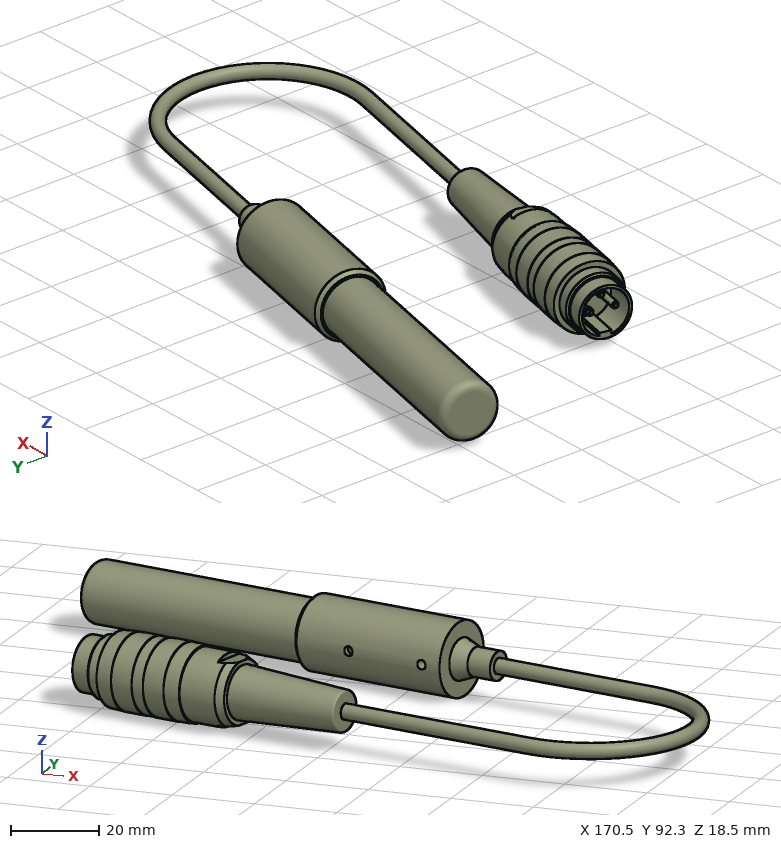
import cadquery as cq
import math

TILT = 13.0

CABLE_DIA = 3.7
BEND_RADIUS = 25.0
PROBE_AXIS_Y = BEND_RADIUS
PLUG_AXIS_Y = -BEND_RADIUS

GLAND_END_X = -42.0
GLAND_NECK_DIA = 7.0
GLAND_NECK_LENGTH = 6.1
GLAND_BASE_DIA = 10.0
GLAND_CONE_LENGTH = 4.0
GLAND_SHANK_LENGTH = 10.0

SLEEVE_DIA = 18.0
SLEEVE_LENGTH = 40.0
SLEEVE_CHAMFER = 1.0
SLEEVE_END_X = GLAND_END_X - GLAND_NECK_LENGTH - GLAND_CONE_LENGTH
SLEEVE_FRONT_X = SLEEVE_END_X - SLEEVE_LENGTH
SCREW_HOLE_DIA = 2.2
SCREW_HOLE_SETBACK = 5.0
SCREW_HOLE_SPACING = 20.0
SCREW_HOLE_COUNT = 2

TUBE_DIA = 15.0
TUBE_EXPOSED_LENGTH = 59.8
TUBE_INSERTION = 20.0
TUBE_TIP_FILLET = 2.0
TUBE_TIP_X = SLEEVE_FRONT_X - TUBE_EXPOSED_LENGTH

PLUG_FRONT_X = -120.2
SHROUD_DIA = 13.5
SHROUD_BORE_DIA = 12.0
SHROUD_LENGTH = 4.5
SOCKET_DEPTH = 9.0
KEY_WIDTH = 3.0
KEY_HEIGHT = 1.0
COLLAR_FRONT_DIA = 14.1
COLLAR_DIA = 15.2
COLLAR_CHAMFER_LENGTH = 0.5
COLLAR_LENGTH = 3.2

GRIP_END_DIA = 18.0
GRIP_DIA = 18.4
GRIP_BULGE = 0.09
GRIP_END_LENGTH = 4.1
BAND_DIA = 18.5
BAND_LENGTH = 5.6
BAND_GAP = 3.0

CLAMP_FRONT_DIA = 17.5
CLAMP_REAR_DIA = 17.0
CLAMP_BULGE = 0.2
CLAMP_LENGTH = 9.4
CLAMP_CHAMFER_LENGTH = 2.0
CLAMP_END_DIA = 15.3
FLAT_SPACING = 15.0
FLAT_LENGTH = 4.0

BOOT_LENGTH = 28.0
BOOT_BASE_DIA = 13.0
BOOT_END_DIA = 9.9
BOOT_FILLET = 0.5

PIN_DIA = 1.7
PIN_CHAMFER = 0.3
LONG_PIN_LENGTH = 7.2
SHORT_PIN_LENGTH = 1.7
PIN_CIRCLE_RADIUS = 3.5

COLLAR_X = PLUG_FRONT_X + SHROUD_LENGTH
GRIP_X = COLLAR_X + COLLAR_CHAMFER_LENGTH + COLLAR_LENGTH
CLAMP_X = GRIP_X + 2 * GRIP_END_LENGTH + 2 * BAND_LENGTH + BAND_GAP
BOOT_X = CLAMP_X + CLAMP_LENGTH + CLAMP_CHAMFER_LENGTH


def along_x(x, y):
    """Workplane at (x, y) whose normal is +X."""
    return cq.Workplane("YZ", origin=(x, y, 0))


def rod(x, y, dia, length):
    return along_x(x, y).circle(dia / 2).extrude(length)


def turned(start_x, y, spans):
    """Solid of revolution about the local X axis at y.

    Each span is (length, start diameter, end diameter, bulge). The bulge is how far the
    middle of the span rises above the straight line between its ends.
    """
    x = start_x
    outline = cq.Workplane("XY").moveTo(x, 0)
    radius = 0
    for length, start_dia, end_dia, bulge in spans:
        if start_dia / 2 != radius:
            outline = outline.lineTo(x, start_dia / 2)
        radius = end_dia / 2
        middle = (x + length / 2, (start_dia + end_dia) / 4 + bulge)
        x += length
        if bulge:
            outline = outline.threePointArc(middle, (x, radius))
        else:
            outline = outline.lineTo(x, radius)
    solid = outline.lineTo(x, 0).close().revolve(360, (0, 0, 0), (1, 0, 0))
    return solid.translate((0, y, 0))


def make_tube():
    """Probe tube with a rounded tip, pushed into the front of the sleeve."""
    tube = rod(TUBE_TIP_X, PROBE_AXIS_Y, TUBE_DIA, TUBE_EXPOSED_LENGTH + TUBE_INSERTION)
    return tube.faces("<X").edges().fillet(TUBE_TIP_FILLET)


def make_sleeve():
    """Sleeve bored for the tube and the gland, with a row of radial screw holes."""
    sleeve = rod(SLEEVE_FRONT_X, PROBE_AXIS_Y, SLEEVE_DIA, SLEEVE_LENGTH)
    sleeve = sleeve.faces("<X").edges().chamfer(SLEEVE_CHAMFER)
    sleeve = sleeve.cut(rod(SLEEVE_FRONT_X, PROBE_AXIS_Y, TUBE_DIA, TUBE_INSERTION))
    shank_x = SLEEVE_END_X - GLAND_SHANK_LENGTH
    sleeve = sleeve.cut(rod(shank_x, PROBE_AXIS_Y, GLAND_BASE_DIA, GLAND_SHANK_LENGTH))
    for index in range(SCREW_HOLE_COUNT):
        hole_x = SLEEVE_END_X - SCREW_HOLE_SETBACK - index * SCREW_HOLE_SPACING
        hole = (
            cq.Workplane("XZ", origin=(hole_x, PROBE_AXIS_Y, 0))
            .circle(SCREW_HOLE_DIA / 2)
            .extrude(SLEEVE_DIA)
        )
        sleeve = sleeve.cut(hole)
    return sleeve


def make_gland(cable):
    """Gland with a shank inside the sleeve and a neck around the cable."""
    spans = [
        (GLAND_SHANK_LENGTH, GLAND_BASE_DIA, GLAND_BASE_DIA, 0),
        (GLAND_CONE_LENGTH, GLAND_BASE_DIA, GLAND_NECK_DIA, 0),
        (GLAND_NECK_LENGTH, GLAND_NECK_DIA, GLAND_NECK_DIA, 0),
    ]
    gland = turned(SLEEVE_END_X - GLAND_SHANK_LENGTH, PROBE_AXIS_Y, spans)
    return gland.cut(cable)


def make_cable():
    """U-shaped cable from the rear of the sleeve to the front of the boot."""
    path = (
        cq.Workplane("XY")
        .moveTo(SLEEVE_END_X, PROBE_AXIS_Y)
        .lineTo(0, PROBE_AXIS_Y)
        .threePointArc((BEND_RADIUS, 0), (0, PLUG_AXIS_Y))
        .lineTo(BOOT_X, PLUG_AXIS_Y)
    )
    return along_x(SLEEVE_END_X, PROBE_AXIS_Y).circle(CABLE_DIA / 2).sweep(path)


def make_plug_shell():
    spans = [
        (SHROUD_LENGTH, SHROUD_DIA, SHROUD_DIA, 0),
        (COLLAR_CHAMFER_LENGTH, COLLAR_FRONT_DIA, COLLAR_DIA, 0),
        (COLLAR_LENGTH, COLLAR_DIA, COLLAR_DIA, 0),
        (GRIP_END_LENGTH, GRIP_END_DIA, GRIP_DIA, GRIP_BULGE),
        (BAND_LENGTH, BAND_DIA, BAND_DIA, 0),
        (BAND_GAP, GRIP_DIA, GRIP_DIA, 0),
        (BAND_LENGTH, BAND_DIA, BAND_DIA, 0),
        (GRIP_END_LENGTH, GRIP_DIA, GRIP_END_DIA, GRIP_BULGE),
        (CLAMP_LENGTH, CLAMP_FRONT_DIA, CLAMP_REAR_DIA, CLAMP_BULGE),
        (CLAMP_CHAMFER_LENGTH, CLAMP_REAR_DIA, CLAMP_END_DIA, 0),
        (BOOT_LENGTH, BOOT_BASE_DIA, BOOT_END_DIA, 0),
    ]
    shell = turned(PLUG_FRONT_X, PLUG_AXIS_Y, spans)
    return shell.faces(">X").edges().fillet(BOOT_FILLET)


def make_wrench_flats():
    """Cutters above and below the rear of the clamp."""
    flats = cq.Workplane("XY")
    for side in (-1, 1):
        center_z = side * (FLAT_SPACING + GRIP_DIA) / 2
        cutter = cq.Workplane("XY").box(FLAT_LENGTH, GRIP_DIA, GRIP_DIA)
        flats = flats.add(cutter.translate((BOOT_X - FLAT_LENGTH / 2, PLUG_AXIS_Y, center_z)))
    return flats.combine()


def make_key():
    """Rib along the bottom of the socket, rooted in the shroud wall."""
    wall = (SHROUD_DIA - SHROUD_BORE_DIA) / 2
    height = KEY_HEIGHT + wall / 2
    center_z = KEY_HEIGHT - SHROUD_BORE_DIA / 2 - height / 2
    rib_section = along_x(PLUG_FRONT_X, PLUG_AXIS_Y).center(0, center_z).rect(KEY_WIDTH, height)
    return rib_section.extrude(SOCKET_DEPTH)


def make_pin(angle, length):
    """Pin standing on the socket floor, at an angle from the +Y side of the plug axis."""
    pin_y = PLUG_AXIS_Y + PIN_CIRCLE_RADIUS * math.cos(math.radians(angle))
    pin_z = PIN_CIRCLE_RADIUS * math.sin(math.radians(angle))
    pin = rod(PLUG_FRONT_X + SOCKET_DEPTH, pin_y, PIN_DIA, -length)
    return pin.faces("<X").edges().chamfer(PIN_CHAMFER).translate((0, 0, pin_z))


def make_plug(cable):
    """Plug with its socket, key and pins, and a hole for the cable."""
    plug = make_plug_shell()
    plug = plug.cut(make_wrench_flats())
    plug = plug.cut(rod(PLUG_FRONT_X, PLUG_AXIS_Y, SHROUD_BORE_DIA, SOCKET_DEPTH))
    plug = plug.union(make_key())
    for angle in (0, 90, 180):
        plug = plug.union(make_pin(angle, LONG_PIN_LENGTH))
    plug = plug.union(make_pin(270, SHORT_PIN_LENGTH))
    return plug.cut(cable)


cable = make_cable()
bodies = [make_tube(), make_sleeve(), make_gland(cable), cable, make_plug(cable)]
result = cq.Compound.makeCompound([body.val() for body in bodies])
result = result.rotate(cq.Vector(0, 0, 0), cq.Vector(0, 0, 1), -TILT)